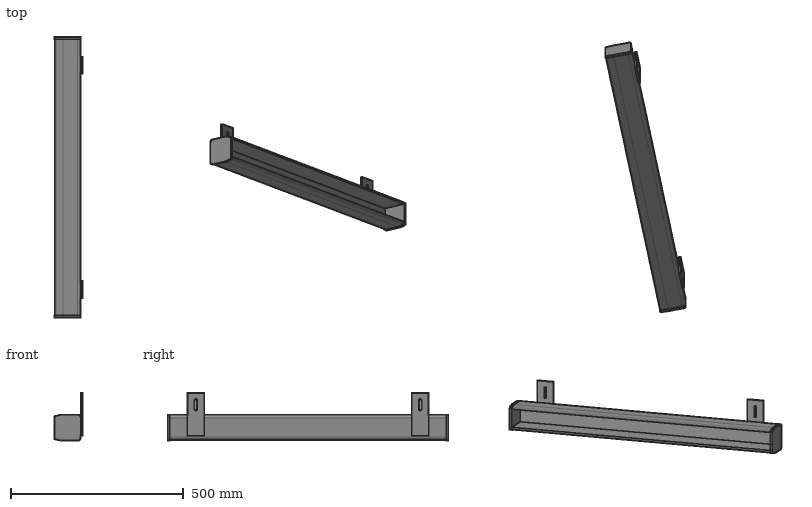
import cadquery as cq
import math

LENGTH = 813.0
CAP_DEPTH = 76.0
CAP_HEIGHT = 75.5
CAP_THICKNESS = 6.5

FRONT_TOP = 69.0
FRONT_BOTTOM = 5.0
CROWN_DEPTH = 24.0
REAR_RADIUS = 8.0

CHANNEL_FRONT = 1.0
CHANNEL_INSET = 2.0
LIP_TOP = 71.5
LIP_BOTTOM = 5.0
LIP_RADIUS = 3.0
CHANNEL_REAR_RADIUS = 10.0
CAVITY_FLOOR = 12.0
CAVITY_TOP = 66.0
BACK_WALL = 5.0

BRACKET_THICKNESS = 6.0
BRACKET_WIDTH = 49.5
BRACKET_BOTTOM = 15.0
BRACKET_TOP = 138.0
BRACKET_END_GAP = 57.0
SLOT_WIDTH = 6.5
SLOT_LENGTH = 32.5
SLOT_TOP = 120.0


def crown_mid(rise):
    """Depth and drop of the midpoint of an arc that meets the flat face tangentially."""
    radius = (CROWN_DEPTH**2 + rise**2) / (2 * rise)
    half_angle = math.asin(CROWN_DEPTH / radius) / 2
    return CROWN_DEPTH - radius * math.sin(half_angle), radius * (1 - math.cos(half_angle))


def make_end_cap(y_start):
    """Plate with a crowned front, top and bottom, and rounded rear edges."""
    top_x, top_drop = crown_mid(CAP_HEIGHT - FRONT_TOP)
    bottom_x, bottom_rise = crown_mid(FRONT_BOTTOM)
    return (
        cq.Workplane("XZ", origin=(0, y_start, 0))
        .moveTo(0, FRONT_BOTTOM)
        .lineTo(0, FRONT_TOP)
        .threePointArc((top_x, CAP_HEIGHT - top_drop), (CROWN_DEPTH, CAP_HEIGHT))
        .lineTo(CAP_DEPTH, CAP_HEIGHT)
        .lineTo(CAP_DEPTH, 0)
        .lineTo(CROWN_DEPTH, 0)
        .threePointArc((bottom_x, bottom_rise), (0, FRONT_BOTTOM))
        .close()
        .extrude(-CAP_THICKNESS)
        .edges("|Y and >X")
        .fillet(REAR_RADIUS)
    )


def make_channel():
    """Open-fronted trough with sloped, rounded lips, fitted between the caps."""
    length = LENGTH - 2 * CAP_THICKNESS
    outside = (
        cq.Workplane("XZ", origin=(0, -length / 2, 0))
        .polyline([
            (CHANNEL_FRONT, LIP_BOTTOM),
            (CHANNEL_FRONT, LIP_TOP),
            (CROWN_DEPTH, CAP_HEIGHT),
            (CAP_DEPTH, CAP_HEIGHT),
            (CAP_DEPTH, CHANNEL_INSET),
            (CROWN_DEPTH, CHANNEL_INSET),
        ])
        .close()
        .extrude(-length)
        .edges("|Y and >X")
        .fillet(CHANNEL_REAR_RADIUS)
        .edges("|Y and <X")
        .fillet(LIP_RADIUS)
    )
    cavity = cq.Workplane("XY").box(
        CAP_DEPTH - BACK_WALL, length, CAVITY_TOP - CAVITY_FLOOR, centered=(False, True, False)
    ).translate((0, 0, CAVITY_FLOOR))
    return outside.cut(cavity)


def make_bracket(y_center):
    """Flat hanging plate on the rear face with a vertical slot."""
    plate = cq.Workplane("XY").box(
        BRACKET_THICKNESS, BRACKET_WIDTH, BRACKET_TOP - BRACKET_BOTTOM, centered=(False, True, False)
    ).translate((CAP_DEPTH, y_center, BRACKET_BOTTOM))
    slot = (
        cq.Workplane("YZ", origin=(CAP_DEPTH, y_center, SLOT_TOP - SLOT_LENGTH / 2))
        .slot2D(SLOT_LENGTH, SLOT_WIDTH, 90)
        .extrude(BRACKET_THICKNESS)
    )
    return plate.cut(slot)


channel = make_channel()
end_caps = [make_end_cap(y) for y in (-LENGTH / 2, LENGTH / 2 - CAP_THICKNESS)]
bracket_offset = LENGTH / 2 - BRACKET_END_GAP - BRACKET_WIDTH / 2
brackets = [make_bracket(side * bracket_offset) for side in (-1, 1)]

result = cq.Compound.makeCompound(
    [channel.val().Solids()[0]]
    + [cap.val() for cap in end_caps]
    + [bracket.val().Solids()[0] for bracket in brackets]
)